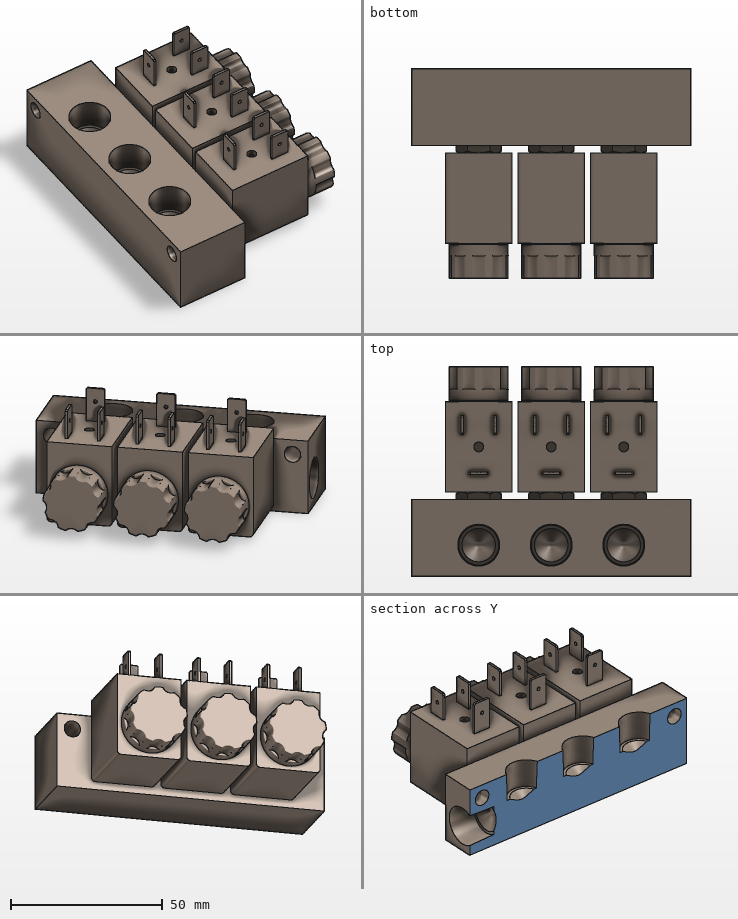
import cadquery as cq
import math

BLOCK_LENGTH = 92.0
BLOCK_SIDE = 25.4
MOUNT_HOLE_DIAMETER = 5.5
MOUNT_HOLE_INSET = 5.2
MOUNT_HOLE_Z = 20.3

PORT_MOUTH_DIAMETER = 13.8
PORT_TAPER = 1 / 16
PORT_DEPTH = 10.1
DRILL_DIAMETER = 11.0
DRILL_POINT_ANGLE = 118.0
TOP_PORT_Y = 10.3
END_PORT_Y = 16.6
END_PORT_Z = 9.6

VALVE_COUNT = 3
VALVE_PITCH = 23.9
AXIS_Z = 12.9
STEM_DIAMETER = 13.1
NUT_ACROSS_FLATS = 13.0
NUT_CHAMFER_ANGLE = 30.0

COIL_WIDTH = 22.0
COIL_FRONT_Y = 27.8
COIL_LENGTH = 29.8
COIL_BOTTOM_Z = 1.9
COIL_TOP_Z = 29.8
COIL_EDGE_RADIUS = 1.4
SCREW_HOLE_DIAMETER = 3.2
SCREW_HOLE_DEPTH = 9.2

CAP_DIAMETER = 19.5
CAP_FRONT_Y = 58.05
CAP_END_Y = 69.2
CAP_EDGE_RADIUS = 0.3
FLUTE_COUNT = 9
FLUTE_LENGTH = 7.4
FLUTE_RADIUS = 2.85
FLUTE_WIDTH = 4.05

BLADE_WIDTH = 6.3
BLADE_THICKNESS = 0.8
BLADE_CORNER_CHAMFER = 0.5
BLADE_HOLE_DIAMETER = 1.2
BLADE_HOLE_DROP = 4.6
SIDE_BLADE_OFFSET_X = 5.4
SIDE_BLADE_OFFSET_Y = 7.3
SIDE_BLADE_TOP_Z = 39.7
FRONT_BLADE_OFFSET_Y = -8.7
FRONT_BLADE_TOP_Z = 41.3

TOLERANCE = 0.001

COIL_END_Y = COIL_FRONT_Y + COIL_LENGTH
COIL_MID_Y = COIL_FRONT_Y + COIL_LENGTH / 2
VALVE_POSITIONS = [(i - (VALVE_COUNT - 1) / 2) * VALVE_PITCH for i in range(VALVE_COUNT)]


def plane_facing_back(y):
    """Work plane at the given Y, centred on the valve axis, with its normal along +Y."""
    return cq.Workplane(cq.Plane(origin=(0, y, AXIS_Z), xDir=(-1, 0, 0), normal=(0, 1, 0)))


def port_cutter():
    """Tapered bore and conical bottom, opening at the origin and running down -Z."""
    mouth_radius = PORT_MOUTH_DIAMETER / 2
    floor_radius = mouth_radius - PORT_DEPTH * PORT_TAPER / 2
    drill_radius = DRILL_DIAMETER / 2
    point_length = drill_radius / math.tan(math.radians(DRILL_POINT_ANGLE / 2))
    profile = [
        (0, 0),
        (mouth_radius, 0),
        (floor_radius, -PORT_DEPTH),
        (drill_radius, -PORT_DEPTH),
        (0, -PORT_DEPTH - point_length),
    ]
    return cq.Workplane("XZ").polyline(profile).close().revolve(360, (0, 0), (0, 1))


def make_block():
    block = cq.Workplane("XY").box(BLOCK_LENGTH, BLOCK_SIDE, BLOCK_SIDE, centered=(True, False, False))

    mount_x = BLOCK_LENGTH / 2 - MOUNT_HOLE_INSET
    mount_holes = (
        cq.Workplane("XZ")
        .pushPoints([(-mount_x, MOUNT_HOLE_Z), (mount_x, MOUNT_HOLE_Z)])
        .circle(MOUNT_HOLE_DIAMETER / 2)
        .extrude(-BLOCK_SIDE)
    )
    block = block.cut(mount_holes)

    for x in VALVE_POSITIONS:
        block = block.cut(port_cutter().translate((x, TOP_PORT_Y, BLOCK_SIDE)))

    end_port = port_cutter().rotate((0, 0, 0), (0, 1, 0), -90)
    return block.cut(end_port.translate((-BLOCK_LENGTH / 2, END_PORT_Y, END_PORT_Z)))


def make_nut():
    """Hexagon between block and coil, flats up and down, corners chamfered towards the coil."""
    length = COIL_FRONT_Y - BLOCK_SIDE
    across_corners = NUT_ACROSS_FLATS / math.cos(math.radians(30))
    hexagon = plane_facing_back(BLOCK_SIDE).polygon(6, across_corners).extrude(length)

    end_radius = NUT_ACROSS_FLATS / 2
    base_radius = end_radius + length / math.tan(math.radians(NUT_CHAMFER_ANGLE))
    base_centre = cq.Vector(0, BLOCK_SIDE, AXIS_Z)
    chamfer_cone = cq.Solid.makeCone(base_radius, end_radius, length, base_centre, cq.Vector(0, 1, 0))
    return hexagon.intersect(cq.Workplane(chamfer_cone))


def make_coil():
    coil = (
        cq.Workplane("XY")
        .box(COIL_WIDTH, COIL_LENGTH, COIL_TOP_Z - COIL_BOTTOM_Z, centered=(True, False, False))
        .translate((0, COIL_FRONT_Y, COIL_BOTTOM_Z))
        .edges("|Y and <Z")
        .fillet(COIL_EDGE_RADIUS)
    )
    screw_hole = (
        cq.Workplane("XY", origin=(0, COIL_MID_Y, COIL_TOP_Z))
        .circle(SCREW_HOLE_DIAMETER / 2)
        .extrude(-SCREW_HOLE_DEPTH)
    )
    return coil.cut(screw_hole)


def is_outer_flute_edge(edge):
    """True for cap edges on the rear face, and for flute edges lying on the cap's outer surface."""
    middle = edge.positionAt(0.5)
    radius = math.hypot(middle.x, middle.z - AXIS_Z)
    on_rear_face = math.isclose(edge.BoundingBox().ymin, CAP_END_Y, abs_tol=TOLERANCE)
    on_outer_surface = math.isclose(radius, CAP_DIAMETER / 2, abs_tol=TOLERANCE)
    return on_rear_face or (on_outer_surface and middle.y > CAP_FRONT_Y + TOLERANCE)


def make_cap():
    neck = plane_facing_back(COIL_END_Y).circle(STEM_DIAMETER / 2).extrude(CAP_FRONT_Y - COIL_END_Y)
    cap = plane_facing_back(CAP_FRONT_Y).circle(CAP_DIAMETER / 2).extrude(CAP_END_Y - CAP_FRONT_Y)

    half_width = FLUTE_WIDTH / 2
    rim_distance = math.sqrt((CAP_DIAMETER / 2) ** 2 - half_width**2)
    flute_centre = rim_distance + math.sqrt(FLUTE_RADIUS**2 - half_width**2)
    flutes = (
        plane_facing_back(CAP_END_Y)
        .polarArray(flute_centre, -90, 360, FLUTE_COUNT)
        .circle(FLUTE_RADIUS)
        .extrude(-FLUTE_LENGTH)
    )
    cap = cap.cut(flutes)
    cap = cap.edges().filter(is_outer_flute_edge).fillet(CAP_EDGE_RADIUS)
    return cap.union(neck)


def make_blade(top_z):
    """Blade standing on the coil at the origin of X and Y, flat faces towards +Y and -Y."""
    height = top_z - COIL_TOP_Z
    return (
        cq.Workplane("XY", origin=(0, 0, COIL_TOP_Z))
        .box(BLADE_WIDTH, BLADE_THICKNESS, height, centered=(True, True, False))
        .edges("|Y and >Z")
        .chamfer(BLADE_CORNER_CHAMFER)
        .faces(">Y")
        .workplane(origin=(0, 0, top_z - BLADE_HOLE_DROP))
        .hole(BLADE_HOLE_DIAMETER)
    )


def make_valve():
    side_blade = make_blade(SIDE_BLADE_TOP_Z).rotate((0, 0, 0), (0, 0, 1), 90)
    front_blade = make_blade(FRONT_BLADE_TOP_Z)
    valve = make_coil().union(make_nut()).union(make_cap())
    for side in (-1, 1):
        x = side * SIDE_BLADE_OFFSET_X
        valve = valve.union(side_blade.translate((x, COIL_MID_Y + SIDE_BLADE_OFFSET_Y, 0)))
    return valve.union(front_blade.translate((0, COIL_MID_Y + FRONT_BLADE_OFFSET_Y, 0)))


result = make_block()
valve = make_valve()
for x in VALVE_POSITIONS:
    result = result.union(valve.translate((x, 0, 0)))